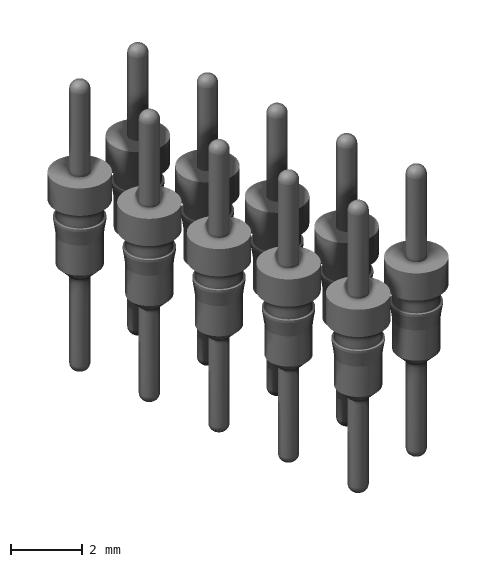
import cadquery as cq

LENGTH_X = 11.97
COLUMNS = 5
ROWS = 2

FLANGE_DIAMETER = 1.81
BARREL_DIAMETER = 1.35
BARB_DIAMETER = 1.5
TAIL_DIAMETER = 0.6

PIN_HEIGHT = 9.5
FLANGE_TOP = 6.5
FLANGE_THICKNESS = 0.9
NECK_LENGTH = 0.55
BARB_BAND = 0.08
BARB_TAPER = 0.48
BARREL_LENGTH = 0.99

TOP_ROUNDING = 0.28
BOTTOM_ROUNDING = 0.25

PITCH = (LENGTH_X - FLANGE_DIAMETER) / (COLUMNS - 1)

FLANGE_BOTTOM = FLANGE_TOP - FLANGE_THICKNESS
BARB_TOP = FLANGE_BOTTOM - NECK_LENGTH
BARB_EDGE = BARB_TOP - BARB_BAND
BARREL_TOP = BARB_EDGE - BARB_TAPER
CONE_TOP = BARREL_TOP - BARREL_LENGTH

CONE_LENGTH = (BARREL_DIAMETER - TAIL_DIAMETER) / 2
CONE_BOTTOM = CONE_TOP - CONE_LENGTH


def make_pin():
    """One turned pin on the Z axis with its bottom tip at Z = 0."""
    flange = FLANGE_DIAMETER / 2
    barrel = BARREL_DIAMETER / 2
    barb = BARB_DIAMETER / 2
    tail = TAIL_DIAMETER / 2

    half_profile = (
        cq.Workplane("XZ")
        .moveTo(0, 0)
        .lineTo(tail, 0)
        .lineTo(tail, CONE_BOTTOM)
        .lineTo(barrel, CONE_TOP)
        .lineTo(barrel, BARREL_TOP)
        .lineTo(barb, BARB_EDGE)
        .lineTo(barb, BARB_TOP)
        .lineTo(barrel, BARB_TOP)
        .lineTo(barrel, FLANGE_BOTTOM)
        .lineTo(flange, FLANGE_BOTTOM)
        .lineTo(flange, FLANGE_TOP)
        .lineTo(tail, FLANGE_TOP)
        .lineTo(tail, PIN_HEIGHT)
        .lineTo(0, PIN_HEIGHT)
        .close()
    )
    pin = half_profile.revolve(360, (0, 0, 0), (0, 1, 0))
    pin = pin.faces(">Z").edges().fillet(TOP_ROUNDING)
    return pin.faces("<Z").edges().fillet(BOTTOM_ROUNDING)


def place_pins():
    """Copies of the pin in a grid centred on the Z axis."""
    pin = make_pin()
    pins = []
    for row in range(ROWS):
        y = (row - (ROWS - 1) / 2) * PITCH
        for column in range(COLUMNS):
            x = (column - (COLUMNS - 1) / 2) * PITCH
            pins.append(pin.translate((x, y, 0)).val())
    return pins


result = cq.Compound.makeCompound(place_pins())